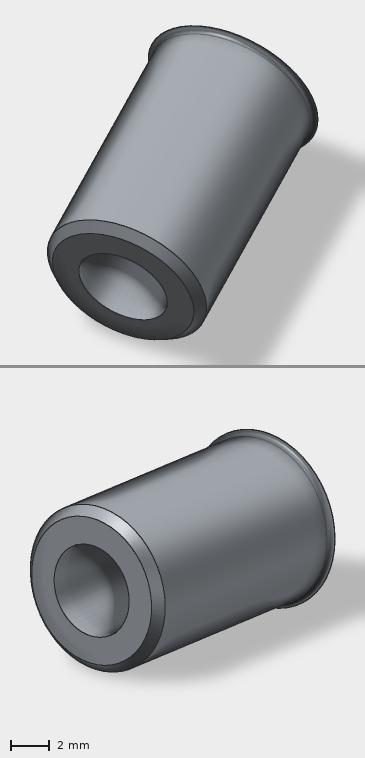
import cadquery as cq

length = 14.0
body_diameter = 9.0
bore_diameter = 5.0
nose_chamfer = 0.5
flare_radius = 0.3

body_radius = body_diameter / 2
bore_radius = bore_diameter / 2
rim_radius = body_radius + flare_radius
nose_y = 0.0
rim_y = nose_y + length


def make_bushing():
    """Revolve the half section (radius along X, axis along Y)."""
    section = (
        cq.Workplane("XY")
        .moveTo(bore_radius, nose_y)
        .lineTo(body_radius - nose_chamfer, nose_y)
        .lineTo(body_radius, nose_y + nose_chamfer)
        .lineTo(body_radius, rim_y - flare_radius)
        .radiusArc((rim_radius, rim_y), flare_radius)
        .lineTo(bore_radius, rim_y)
        .close()
    )
    return section.revolve(360, (0, 0, 0), (0, 1, 0))


result = make_bushing()